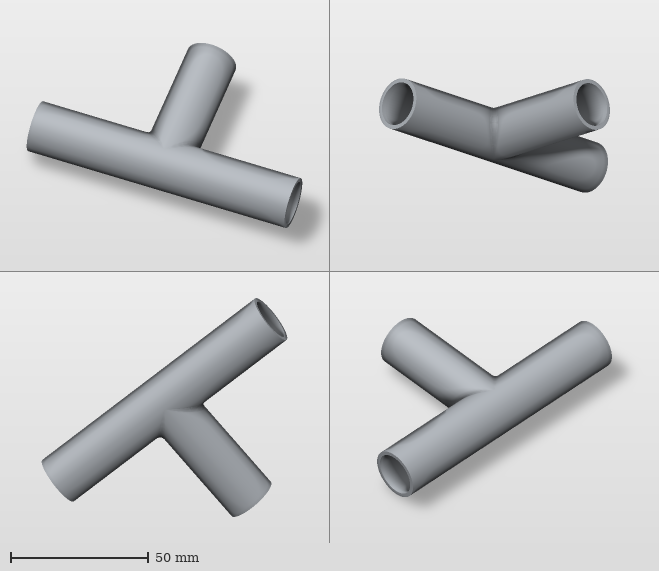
import cadquery as cq

outer_diameter = 19.0
bore_diameter = 16.0
run_length = 100.0
branch_length = 50.0
joint_fillet_radius = 2.0


def tee(diameter):
    """Solid tee: a run along X centred on the origin and a branch along +Y."""
    run = cq.Workplane("YZ").circle(diameter / 2).extrude(run_length / 2, both=True)
    branch = cq.Workplane("XZ").circle(diameter / 2).extrude(-branch_length)
    return run.union(branch)


def joint_edges():
    """Box selecting the mitre edges, whose centres lie beside the run on its branch side."""
    return cq.selectors.BoxSelector(
        (-outer_diameter, 0, -outer_diameter),
        (outer_diameter, outer_diameter, outer_diameter),
    )


body = tee(outer_diameter).edges(joint_edges()).edges("not %CIRCLE").fillet(joint_fillet_radius)

result = body.cut(tee(bore_diameter))